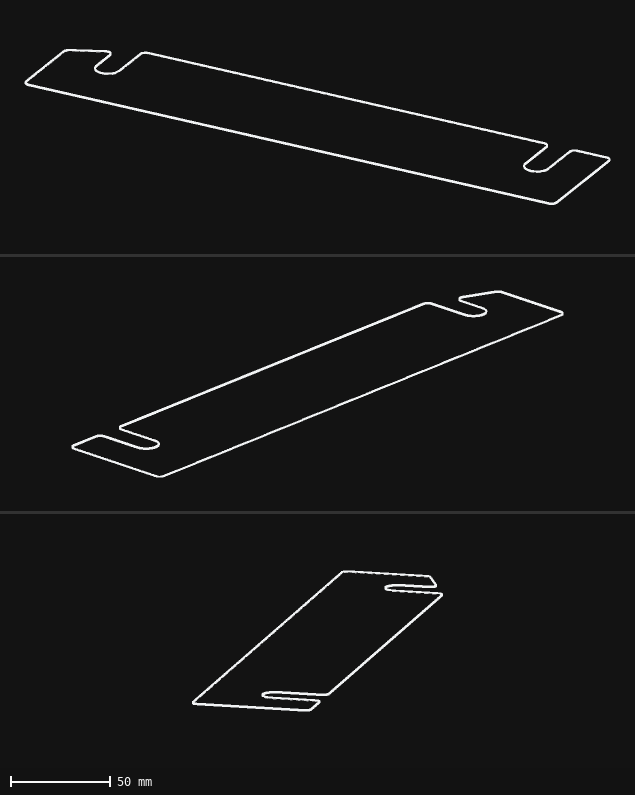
import cadquery as cq
import math

LENGTH = 303.0
DEPTH = 61.5
THICKNESS = 0.5

SLOT_WIDTH = 13.0
SLOT_DEPTH = 32.0
SLOT_INSET = 29.0

SLOPE_ANGLE = 24.0
SLOPE_START_DROP = 16.5

CORNER_RADIUS = 3.0

HALF_LENGTH = LENGTH / 2
HALF_DEPTH = DEPTH / 2
SLOT_RADIUS = SLOT_WIDTH / 2
SLOT_X = HALF_LENGTH - SLOT_INSET
SLOT_CENTRE_Y = HALF_DEPTH - SLOT_DEPTH + SLOT_RADIUS

SLOPE_START_Y = HALF_DEPTH - SLOPE_START_DROP
TAB_WIDTH = SLOT_INSET - SLOT_RADIUS
SLOPE_END_Y = SLOPE_START_Y + TAB_WIDTH * math.tan(math.radians(SLOPE_ANGLE))


def add_slot(outline, centre_x, entry_y, exit_y):
    """Continue the outline down, around and up an open slot, from +X to -X."""
    return (
        outline.lineTo(centre_x + SLOT_RADIUS, entry_y)
        .lineTo(centre_x + SLOT_RADIUS, SLOT_CENTRE_Y)
        .threePointArc(
            (centre_x, SLOT_CENTRE_Y - SLOT_RADIUS),
            (centre_x - SLOT_RADIUS, SLOT_CENTRE_Y),
        )
        .lineTo(centre_x - SLOT_RADIUS, exit_y)
    )


def make_plate():
    """Flat plate with both slots and the sloped tab, corners still sharp."""
    outline = (
        cq.Workplane("XY")
        .workplane(offset=-THICKNESS / 2)
        .moveTo(-HALF_LENGTH, -HALF_DEPTH)
        .lineTo(HALF_LENGTH, -HALF_DEPTH)
        .lineTo(HALF_LENGTH, HALF_DEPTH)
    )
    outline = add_slot(outline, SLOT_X, HALF_DEPTH, HALF_DEPTH)
    outline = add_slot(outline, -SLOT_X, HALF_DEPTH, SLOPE_END_Y)
    outline = outline.lineTo(-HALF_LENGTH, SLOPE_START_Y)
    return outline.close().extrude(THICKNESS)


def round_corners(plate, corners, radius):
    """Round the upright edges that stand at the given XY corners."""
    for x, y in corners:
        edge = cq.selectors.NearestToPointSelector((x, y, 0))
        plate = plate.edges("|Z").edges(edge).fillet(radius)
    return plate


corners = [
    (-HALF_LENGTH, -HALF_DEPTH),
    (HALF_LENGTH, -HALF_DEPTH),
    (HALF_LENGTH, HALF_DEPTH),
    (SLOT_X + SLOT_RADIUS, HALF_DEPTH),
    (SLOT_X - SLOT_RADIUS, HALF_DEPTH),
    (-SLOT_X + SLOT_RADIUS, HALF_DEPTH),
    (-SLOT_X - SLOT_RADIUS, SLOPE_END_Y),
    (-HALF_LENGTH, SLOPE_START_Y),
]

result = round_corners(make_plate(), corners, CORNER_RADIUS)